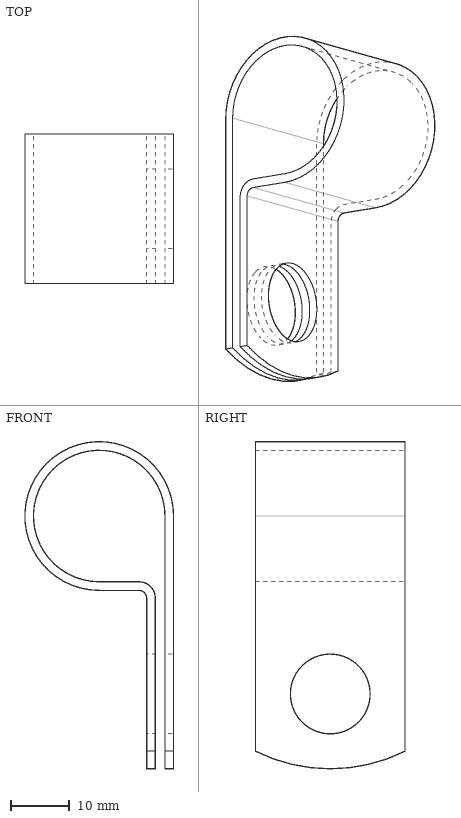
import cadquery as cq
import math

height = 55.5
loop_diameter = 25.25
strip_width = 25.4
thickness = 1.5
leg_gap = 1.6
bend_inner_radius = 1.3
hole_diameter = 13.5
hole_height = 12.7
end_arc_sag = 3.0

outer_radius = loop_diameter / 2
inner_radius = outer_radius - thickness
loop_z = height - outer_radius
shelf_bottom = loop_z - outer_radius
shelf_top = shelf_bottom + thickness
short_leg_right = inner_radius - leg_gap
short_leg_left = short_leg_right - thickness
bend_outer_radius = bend_inner_radius + thickness
bend_x = short_leg_right - bend_outer_radius
bend_z = shelf_top - bend_outer_radius
half_width = strip_width / 2


def bend_midpoint(radius):
    """Middle of the quarter bend between the loop and the short leg."""
    offset = radius * math.sqrt(0.5)
    return (bend_x + offset, bend_z + offset)


def loop_midpoint(radius):
    """Middle of the three-quarter loop arc."""
    offset = radius * math.sqrt(0.5)
    return (-offset, loop_z + offset)


def bent_strip():
    """Constant-thickness strip: long leg, loop, shelf and short leg."""
    profile = (
        cq.Workplane("XZ")
        .moveTo(outer_radius, 0)
        .lineTo(outer_radius, loop_z)
        .threePointArc(loop_midpoint(outer_radius), (0, shelf_bottom))
        .lineTo(bend_x, shelf_bottom)
        .threePointArc(bend_midpoint(bend_inner_radius), (short_leg_left, bend_z))
        .lineTo(short_leg_left, 0)
        .lineTo(short_leg_right, 0)
        .lineTo(short_leg_right, bend_z)
        .threePointArc(bend_midpoint(bend_outer_radius), (bend_x, shelf_top))
        .lineTo(0, shelf_top)
        .threePointArc(loop_midpoint(inner_radius), (inner_radius, loop_z))
        .lineTo(inner_radius, 0)
        .close()
    )
    return profile.extrude(half_width, both=True)


def rounded_end_envelope():
    """Side outline of the strip with an arc across the leg ends."""
    return (
        cq.Workplane("YZ")
        .moveTo(-half_width, end_arc_sag)
        .threePointArc((0, 0), (half_width, end_arc_sag))
        .lineTo(half_width, height)
        .lineTo(-half_width, height)
        .close()
        .extrude(loop_diameter, both=True)
    )


def bolt_hole():
    """Clearance hole through both legs."""
    return (
        cq.Workplane("YZ")
        .center(0, hole_height)
        .circle(hole_diameter / 2)
        .extrude(loop_diameter, both=True)
    )


result = bent_strip().intersect(rounded_end_envelope()).cut(bolt_hole())